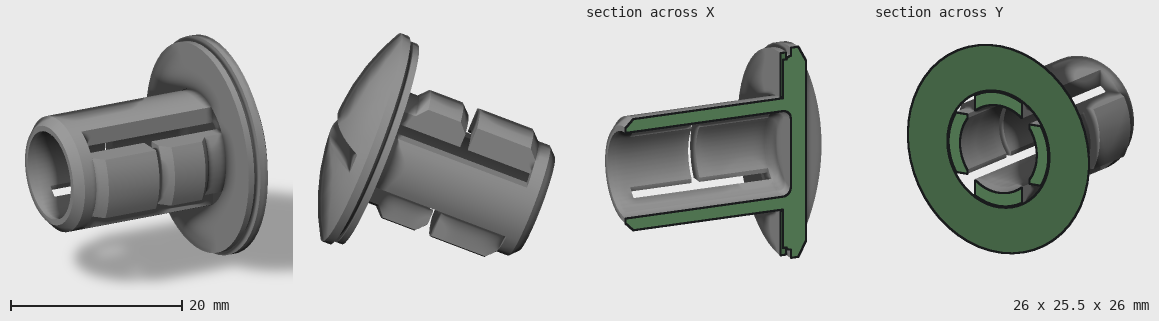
import cadquery as cq
import math

DOME_APEX = 25.53
HEAD_RADIUS = 13.0
RIM_BOTTOM = 21.0
RIM_TOP = 22.0
SEAT_BOTTOM = 20.02
SEAT_TOP_RADIUS = 11.99
SEAT_BOTTOM_RADIUS = 11.65
SEAT_ROUND_RADIUS = 0.62

WASHER_RADIUS = 12.5
WASHER_TOP = 20.45
WASHER_HOLE_RADIUS = 7.0
WASHER_THICKNESS = 0.75

BARREL_RADIUS = 6.9
BORE_RADIUS = 5.25
BORE_FILLET = 1.0
TIP_CHAMFER = 1.0

SLOT_START = 2.5
POST_HALF_WIDTH = 3.25
SLIT = 1.0
TAB_RADIUS = 8.0
TAB_HEIGHT = 7.25
LOWER_TAB_END = 10.3
TAB_RAMP = 1.07
UPPER_RAMP_END = 17.5

DRIVER_SLOT_WIDTH = 2.4
DRIVER_SLOT_BOTTOM = 23.0

WASHER_BOTTOM = WASHER_TOP - WASHER_THICKNESS
BORE_FLOOR = SEAT_BOTTOM + BORE_FILLET
DOME_RISE = DOME_APEX - RIM_TOP
DOME_RADIUS = (HEAD_RADIUS**2 + DOME_RISE**2) / (2 * DOME_RISE)
TAB_INNER_X = POST_HALF_WIDTH + SLIT
UPPER_TAB_START = LOWER_TAB_END + SLIT


def revolve_about_y(profile):
    """Revolve a closed (radius, Y) profile a full turn about the Y axis."""
    return profile.close().revolve(360, (0, 0, 0), (0, 1, 0))


def y_cylinder(radius, start, end):
    """Solid cylinder along Y."""
    return cq.Workplane("XZ", origin=(0, start, 0)).circle(radius).extrude(start - end)


def y_box(x_min, x_max, height, start, end):
    """Box centred on Z = 0, given by its X and Y limits."""
    box = cq.Workplane("XY").box(x_max - x_min, end - start, height)
    return box.translate(((x_min + x_max) / 2, (start + end) / 2, 0))


def make_head():
    """Domed head with a straight rim and a round-edged seat below it, slotted across the top."""
    middle = math.asin(HEAD_RADIUS / DOME_RADIUS) / 2
    dome_centre = DOME_APEX - DOME_RADIUS
    dome_middle = (DOME_RADIUS * math.sin(middle), dome_centre + DOME_RADIUS * math.cos(middle))
    head = revolve_about_y(
        cq.Workplane("XY")
        .moveTo(0, SEAT_BOTTOM)
        .lineTo(SEAT_BOTTOM_RADIUS, SEAT_BOTTOM)
        .lineTo(SEAT_BOTTOM_RADIUS, WASHER_TOP)
        .radiusArc((SEAT_TOP_RADIUS, RIM_BOTTOM), -SEAT_ROUND_RADIUS)
        .lineTo(HEAD_RADIUS, RIM_BOTTOM)
        .lineTo(HEAD_RADIUS, RIM_TOP)
        .threePointArc(dome_middle, (0, DOME_APEX))
    )
    slot_top = DOME_APEX + DOME_RISE
    half_slot = DRIVER_SLOT_WIDTH / 2
    return head.cut(y_box(-half_slot, half_slot, 2 * HEAD_RADIUS, DRIVER_SLOT_BOTTOM, slot_top))


def make_bore():
    """Blind bore with a rounded floor edge."""
    return y_cylinder(BORE_RADIUS, 0, BORE_FLOOR).faces(">Y").edges().fillet(BORE_FILLET)


def make_barrel():
    """Chamfered tip ring and the two posts that join it to the head."""
    barrel = y_cylinder(BARREL_RADIUS, 0, SEAT_BOTTOM).faces("<Y").chamfer(TIP_CHAMFER)
    for x_min, x_max in ((-BARREL_RADIUS, -POST_HALF_WIDTH), (POST_HALF_WIDTH, BARREL_RADIUS)):
        barrel = barrel.cut(y_box(x_min, x_max, 2 * BARREL_RADIUS, SLOT_START, SEAT_BOTTOM))
    return barrel


def make_tabs():
    """Lower tabs rooted on the tip ring and upper tabs rooted on the head."""
    root_radius = TAB_RADIUS - TAB_RAMP
    lower = revolve_about_y(
        cq.Workplane("XY")
        .moveTo(0, SLOT_START)
        .lineTo(root_radius, SLOT_START)
        .lineTo(TAB_RADIUS, SLOT_START + TAB_RAMP)
        .lineTo(TAB_RADIUS, LOWER_TAB_END)
        .lineTo(0, LOWER_TAB_END)
    )
    upper = revolve_about_y(
        cq.Workplane("XY")
        .moveTo(0, UPPER_TAB_START)
        .lineTo(root_radius, UPPER_TAB_START)
        .lineTo(TAB_RADIUS, UPPER_TAB_START + TAB_RAMP)
        .lineTo(TAB_RADIUS, UPPER_RAMP_END - TAB_RAMP)
        .lineTo(BARREL_RADIUS, UPPER_RAMP_END)
        .lineTo(BARREL_RADIUS, SEAT_BOTTOM)
        .lineTo(0, SEAT_BOTTOM)
    )
    right_side = y_box(TAB_INNER_X, TAB_RADIUS, TAB_HEIGHT, SLOT_START, SEAT_BOTTOM)
    left_side = right_side.mirror("YZ")
    return lower.union(upper).intersect(right_side.union(left_side))


def make_fastener():
    """Head, barrel and tabs as one solid around the common bore."""
    return make_head().union(make_barrel()).union(make_tabs()).cut(make_bore())


def make_washer():
    """Washer loose around the barrel, recessed on top to receive the head seat."""
    washer = y_cylinder(WASHER_RADIUS, WASHER_BOTTOM, WASHER_TOP)
    hole = y_cylinder(WASHER_HOLE_RADIUS, WASHER_BOTTOM, WASHER_TOP)
    recess = y_cylinder(SEAT_BOTTOM_RADIUS, SEAT_BOTTOM, WASHER_TOP)
    return washer.cut(hole).cut(recess)


fastener = make_fastener()
washer = make_washer()

result = cq.Compound.makeCompound([fastener.solids().val(), washer.solids().val()])